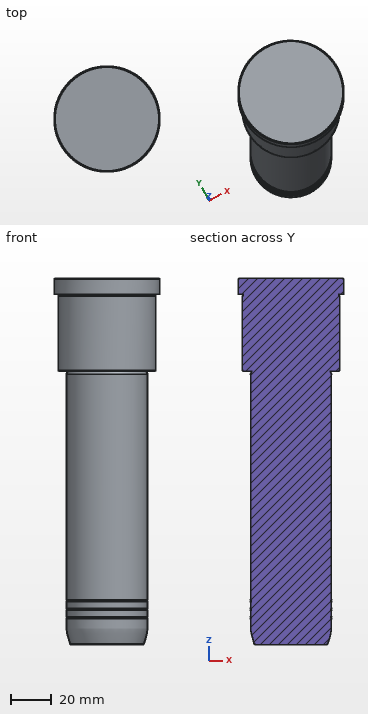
import cadquery as cq

length = 180.0
flange_radius = 52.0 / 2
body_radius = 48.0 / 2
shaft_radius = 40.0 / 2

flange_height = 8.0
body_end = 45.7
rim_chamfer = 0.5

undercut_width = 0.9
undercut_radius = 23.5
undercut_slope = 0.5

relief_radius = 19.5
relief_height = 1.5
body_chamfer = 0.5

groove_count = 3
lowest_groove = 13.3
groove_pitch = 4.1
groove_width = 1.0
groove_depth = 0.4

lead_height = 8.0
tip_radius = 18.2
lead_bulge = 0.27
tip_chamfer = 0.5


def make_pin():
    """Revolve the half outline of the pin about the Z axis."""
    flange_bottom = length - flange_height
    body_top = flange_bottom - undercut_width
    body_bottom = length - body_end
    lead_middle = (
        (shaft_radius + tip_radius) / 2 + lead_bulge,
        (lead_height + tip_chamfer) / 2,
    )
    outline = (
        cq.Workplane("XZ")
        .moveTo(0, 0)
        .lineTo(tip_radius - tip_chamfer, 0)
        .lineTo(tip_radius, tip_chamfer)
        .threePointArc(lead_middle, (shaft_radius, lead_height))
        .lineTo(shaft_radius, body_bottom - relief_height)
        .lineTo(relief_radius, body_bottom)
        .lineTo(body_radius - body_chamfer, body_bottom)
        .lineTo(body_radius, body_bottom + body_chamfer)
        .lineTo(body_radius, body_top)
        .lineTo(undercut_radius, body_top + undercut_slope)
        .lineTo(undercut_radius, flange_bottom)
        .lineTo(flange_radius, flange_bottom)
        .lineTo(flange_radius, length - rim_chamfer)
        .lineTo(flange_radius - rim_chamfer, length)
        .lineTo(0, length)
        .close()
    )
    return outline.revolve(360, (0, 0, 0), (0, 1, 0))


def make_groove(height):
    """V-section ring to cut from the shaft, centred on the given height."""
    half_width = groove_width / 2
    section = (
        cq.Workplane("XZ")
        .moveTo(shaft_radius, height - half_width)
        .lineTo(shaft_radius - groove_depth, height)
        .lineTo(shaft_radius, height + half_width)
        .close()
    )
    return section.revolve(360, (0, 0, 0), (0, 1, 0))


result = make_pin()
for index in range(groove_count):
    result = result.cut(make_groove(lowest_groove + index * groove_pitch))